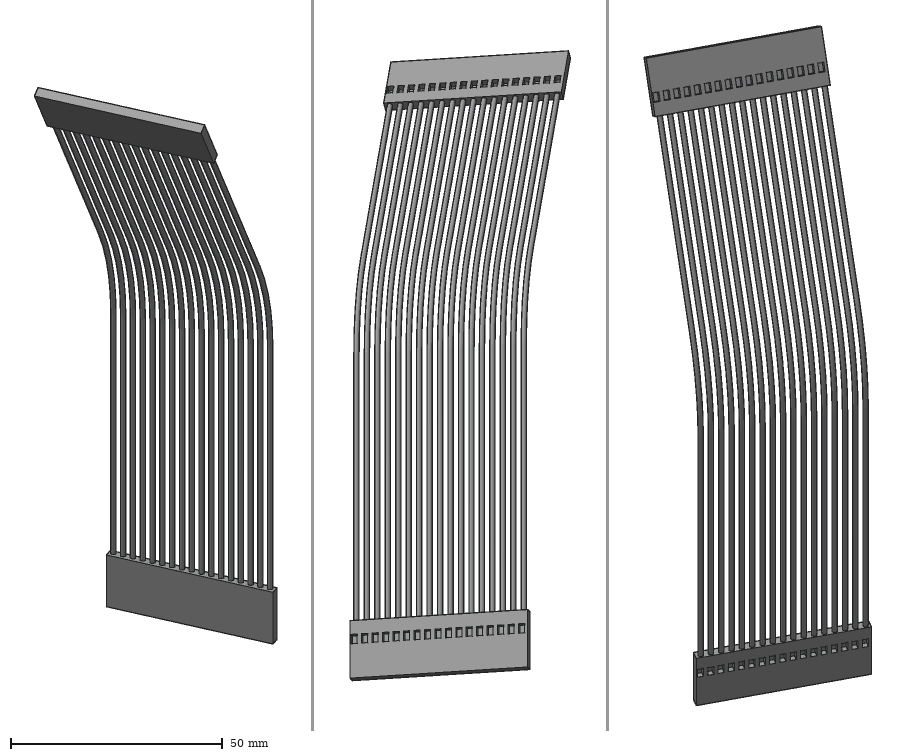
import cadquery as cq
import math

wire_count = 17
housing_width = 43.1
housing_length = 14.1
housing_thickness = 2.5
pitch = housing_width / wire_count

wire_diameter = 1.3
wire_offset = 0.25
wire_shift = -0.08

total_height = 162.0
bend_start = 79.4
bend_radius = 49.6
bend_angle = 31.4

window_width = 1.5
window_height = 2.3
window_depth = 1.5
window_distance = 4.5
window_shift = 0.25

lean_sin = math.sin(math.radians(bend_angle))
lean_cos = math.cos(math.radians(bend_angle))

row_positions = [(i - (wire_count - 1) / 2) * pitch for i in range(wire_count)]

bend_end_y = -bend_radius * (1 - lean_cos)
bend_end_z = bend_start + bend_radius * lean_sin

corner_offset = housing_thickness / 2 - wire_offset
far_end_z = total_height - corner_offset * lean_sin
straight_length = (far_end_z - bend_end_z) / lean_cos - housing_length
entry_y = bend_end_y - straight_length * lean_sin
entry_z = bend_end_z + straight_length * lean_cos


def make_housing():
    """Housing with its wire end at z = 0, wire axes at y = 0 and its body above."""
    body = cq.Workplane("XY").box(
        housing_width, housing_thickness, housing_length, centered=(True, True, False)
    )
    window_y = (housing_thickness - window_depth) / 2
    windows = (
        cq.Workplane("XY")
        .pushPoints([(x + window_shift, window_y) for x in row_positions])
        .box(window_width, window_depth, window_height)
        .translate((0, 0, window_distance))
    )
    return body.cut(windows).translate((0, -wire_offset, 0))


def make_wire(x):
    """Round wire running from the lower housing to the upper housing."""
    half_angle = math.radians(bend_angle / 2)
    bend_middle = (
        -bend_radius * (1 - math.cos(half_angle)),
        bend_start + bend_radius * math.sin(half_angle),
    )
    path = (
        cq.Workplane("YZ", origin=(x, 0, 0))
        .moveTo(0, housing_length)
        .lineTo(0, bend_start)
        .threePointArc(bend_middle, (bend_end_y, bend_end_z))
        .lineTo(entry_y, entry_z)
    )
    profile = cq.Workplane("XY", origin=(x, 0, housing_length)).circle(wire_diameter / 2)
    return profile.sweep(path)


lower_housing = make_housing().mirror("XY").translate((0, 0, housing_length))
upper_housing = (
    make_housing()
    .rotate((0, 0, 0), (1, 0, 0), bend_angle)
    .translate((0, entry_y, entry_z))
)

result = lower_housing.union(upper_housing)
for position in row_positions:
    result = result.union(make_wire(position + wire_shift))